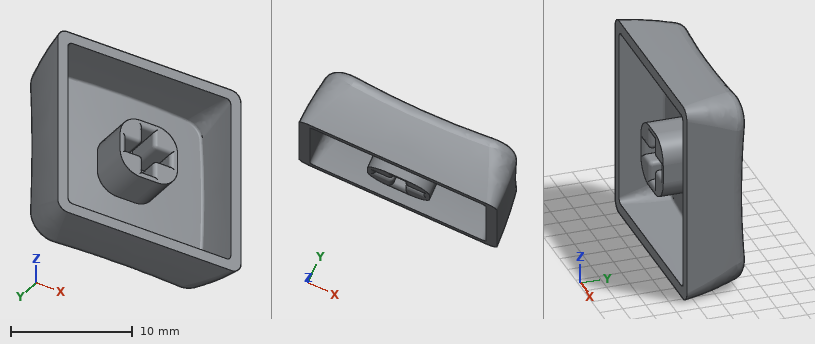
import cadquery as cq
import math


width = 17.89
side_radius_x = 33.1
side_radius_z = 30.41
corner_radius_rim = 0.95
corner_growth = 0.33
blank_height = 6.44
top_edge_fillet = 1.15

dish_radius = 76.03
dish_height = 4.83

wall = 1.0
cavity_radius_x = 41.15
cavity_radius_z = 26.84
cavity_corner_rim = 0.43
cavity_corner_growth = 0.25
ceiling_height = 3.52
ceiling_fillet = 0.2

stem_width = 5.6
stem_corner = 1.97
stem_recess = 0.09
cross_length = 5.03
cross_width_x = 1.91
cross_width_z = 1.8
cross_round = 0.34
corner_round = 0.35
cross_depth = 3.4

section_count = 4


def rounded_loft(size, bow_x, bow_z, corner, growth):
    """Loft of rounded rectangles whose sides bow inward with height."""
    sections = []
    for i in range(section_count):
        height = blank_height * i / (section_count - 1)
        inset_x = bow_x - math.sqrt(bow_x**2 - height**2)
        inset_z = bow_z - math.sqrt(bow_z**2 - height**2)
        outline = cq.Sketch().rect(size - 2 * inset_x, size - 2 * inset_z)
        outline = outline.vertices().fillet(corner + growth * height)
        sections.append(outline.moved(cq.Location(cq.Vector(0, 0, -height))))
    return cq.Workplane("XZ").placeSketch(*sections).loft()


def dish(height):
    """Ball whose lowest point is at the given height."""
    return cq.Workplane("XY").sphere(dish_radius).translate((0, height + dish_radius, 0))


def block(size_x, size_z, depth):
    """Block standing on the stem end and reaching towards +Y."""
    return cq.Workplane("XZ", origin=(0, stem_recess, 0)).rect(size_x, size_z).extrude(-depth)


def cross_socket():
    """Cross-shaped cutter, to be rounded at its mouth once it is cut."""
    length = cross_length - 2 * cross_round
    along_x = block(length, cross_width_x - 2 * cross_round, cross_depth)
    along_z = block(cross_width_z - 2 * cross_round, length, cross_depth)
    return along_x.union(along_z)


def stem():
    height = (ceiling_height + dish_height) / 2 - stem_recess
    body = block(stem_width, stem_width, height).cut(cross_socket())
    reach_x = cross_width_z / 2
    reach_z = cross_width_x / 2
    inner_corners = cq.selectors.BoxSelector(
        (-reach_x, 0, -reach_z), (reach_x, blank_height, reach_z)
    )
    body = body.edges("|Y").edges(inner_corners).fillet(corner_round)
    reach = cross_length / 2
    mouth = cq.selectors.BoxSelector((-reach, 0, -reach), (reach, blank_height, reach))
    body = body.faces("<Y").edges(mouth).fillet(cross_round)
    rounded_block = block(stem_width, stem_width, height).edges("|Y").fillet(stem_corner)
    return body.intersect(rounded_block)


shell = rounded_loft(width, side_radius_x, side_radius_z, corner_radius_rim, corner_growth)
shell = shell.cut(dish(dish_height))
shell = shell.faces(">Y").edges().fillet(top_edge_fillet)

cavity = rounded_loft(
    width - 2 * wall, cavity_radius_x, cavity_radius_z, cavity_corner_rim, cavity_corner_growth
)
cavity = cavity.cut(dish(ceiling_height))
cavity = cavity.faces(">Y").edges().fillet(ceiling_fillet)

result = shell.cut(cavity).union(stem())